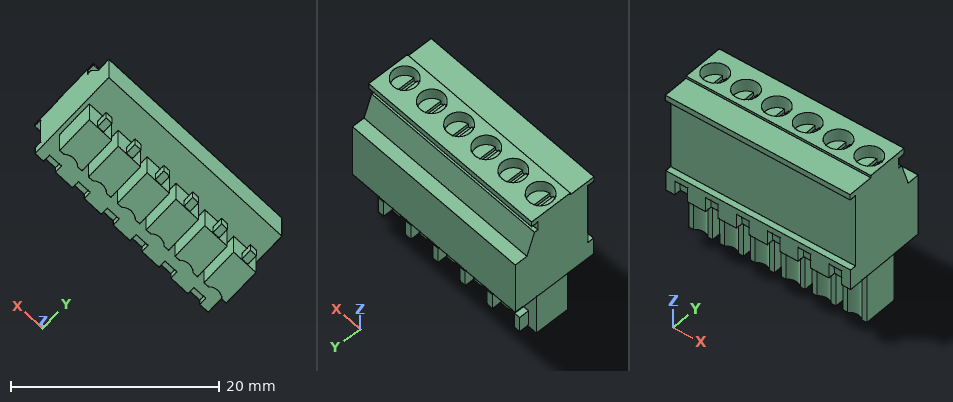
import cadquery as cq

pole_count = 6
housing_length = 22.85
pitch = housing_length / pole_count
pole_positions = [(i - (pole_count - 1) / 2) * pitch for i in range(pole_count)]

housing_depth = 10.4
housing_height = 12.53
front_wall_y = 0.82
ledge_front_y = 0.07
ledge_height = 2.51
lip_bottom_z = 11.57
lip_top_z = 12.25
top_step_y = 3.15
back_lip_y = 8.25
back_lip_bottom_z = 11.77
neck_y = 7.43
neck_bottom_z = 10.54
ramp_top_y = 7.86
ramp_bottom_y = 8.87
shelf_z = 7.61

notch_width = 1.55
notch_height = 1.78
notch_top_depth = front_wall_y - ledge_front_y
notch_wall_slope = 0.1
notch_bottom_depth = notch_top_depth + notch_wall_slope

tongue_width = 2.95
tongue_length = 6.58
tongue_front_y = 3.06
tongue_back_y = 7.22
groove_width = 1.78
groove_depth = 0.37

key_width = 0.78
key_depth = 1.2
key_height = 2.29
key_bottom_gap = 0.25

screw_y = 5.28
screw_diameter = 2.95
screw_recess = 1.5
screw_height = 1.49
slot_width = 0.5
slot_depth = 0.45


def extrude_along_x(points, length, center_x):
    """Extrude a closed (Y, Z) outline, centred on the given X."""
    start = center_x - length / 2
    return cq.Workplane("YZ", origin=(start, 0, 0)).polyline(points).close().extrude(length)


def make_shell():
    outline = [
        (ledge_front_y, 0),
        (ledge_front_y, ledge_height),
        (front_wall_y, ledge_height),
        (front_wall_y, lip_bottom_z),
        (0, lip_bottom_z),
        (0, lip_top_z),
        (top_step_y, lip_top_z),
        (top_step_y, housing_height),
        (back_lip_y, housing_height),
        (back_lip_y, back_lip_bottom_z),
        (neck_y, back_lip_bottom_z),
        (neck_y, neck_bottom_z),
        (ramp_top_y, neck_bottom_z),
        (ramp_bottom_y, shelf_z),
        (housing_depth, shelf_z),
        (housing_depth, 0),
    ]
    return extrude_along_x(outline, housing_length, 0)


def make_notch(x):
    outline = [
        (ledge_front_y, 0),
        (ledge_front_y, notch_height),
        (ledge_front_y + notch_top_depth, notch_height),
        (ledge_front_y + notch_bottom_depth, 0),
    ]
    return extrude_along_x(outline, notch_width, x)


def make_tongue(x):
    """Tongue with a shallow round groove down its front face."""
    half_width = tongue_width / 2
    half_groove = groove_width / 2
    return (
        cq.Workplane("XY", origin=(x, 0, -tongue_length))
        .moveTo(-half_width, tongue_front_y)
        .lineTo(-half_groove, tongue_front_y)
        .threePointArc((0, tongue_front_y + groove_depth), (half_groove, tongue_front_y))
        .lineTo(half_width, tongue_front_y)
        .lineTo(half_width, tongue_back_y)
        .lineTo(-half_width, tongue_back_y)
        .close()
        .extrude(tongue_length)
    )


def make_key(x):
    return (
        cq.Workplane("XY", origin=(x, tongue_back_y, key_bottom_gap - tongue_length))
        .box(key_width, key_depth, key_height, centered=(True, False, False))
    )


def make_screw_hole(x):
    depth = screw_recess + screw_height
    return (
        cq.Workplane("XY", origin=(x, screw_y, housing_height - depth))
        .circle(screw_diameter / 2)
        .extrude(depth)
    )


def make_housing():
    housing = make_shell()
    for x in pole_positions:
        housing = housing.cut(make_notch(x)).cut(make_screw_hole(x))
        housing = housing.union(make_tongue(x)).union(make_key(x))
    return housing


def make_screw(x):
    """Slotted cylindrical screw, its slot running front to back."""
    top_z = housing_height - screw_recess
    body = (
        cq.Workplane("XY", origin=(x, screw_y, top_z - screw_height))
        .circle(screw_diameter / 2)
        .extrude(screw_height)
    )
    slot = (
        cq.Workplane("XY", origin=(x, screw_y, top_z - slot_depth))
        .box(slot_width, screw_diameter, slot_depth, centered=(True, True, False))
    )
    return body.cut(slot)


housing = make_housing()
screws = [make_screw(x) for x in pole_positions]

result = cq.Compound.makeCompound([housing.val(), *[screw.val() for screw in screws]])